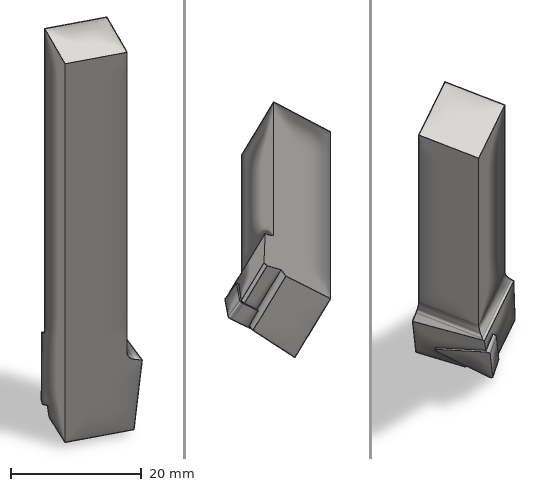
import cadquery as cq
import math

shank_side = 10.0
top_z = 71.35

blend_z = 15.7
blend_radius = 1.6
blend_sweep = 71.0
shoulder_slope = 90.0 - blend_sweep
head_left_top_x = -1.5
head_left_bottom_x = -1.7
head_back_y = 12.4

seat_corner = (head_left_bottom_x, 1.35)
seat_low = (-1.15, 0.9)
notch_root = (1.3, 2.3)
heel_low = (2.15, 0.7)
heel_end_z = 1.15

rake_tilt = 6.0
rake_slope = math.tan(math.radians(rake_tilt))

insert_edge = 11.0
insert_thickness = 3.1
insert_nose_radius = 0.4
insert_left_x = -2.35
insert_corner_z = -0.31
insert_proud = 0.3

sweep = math.radians(blend_sweep)
blend_out = blend_radius * (1 - math.cos(sweep))
blend_drop = blend_radius * math.sin(sweep)
blend_mid_out = blend_radius * (1 - math.cos(sweep / 2))
blend_mid_drop = blend_radius * math.sin(sweep / 2)


def shoulder_z(outward):
    """Height of the straight shoulder at a distance outward from the shank face."""
    drop = (outward - blend_out) * math.tan(math.radians(shoulder_slope))
    return blend_z - blend_drop - drop


rake_top_z = shoulder_z(head_back_y - shank_side)


def rake_y(x, z):
    """Y of the head's rake face at a given X and Z."""
    return head_back_y - rake_slope * (shank_side - x + rake_top_z - z)


def rake_plane(x, z, rise=0.0):
    """Plane on the rake face: local x runs towards +X, local y up, normal into the head."""
    return cq.Plane(
        origin=(x, rake_y(x, z) + rise, z),
        xDir=(1 + rake_slope**2, rake_slope, -rake_slope**2),
        normal=(rake_slope, -1, rake_slope),
    )


def make_side_profile():
    """Outline in XZ, extruded along +Y through the full depth of the head."""
    return (
        cq.Workplane("XZ")
        .moveTo(shank_side, top_z)
        .lineTo(0, top_z)
        .lineTo(0, blend_z)
        .threePointArc((-blend_mid_out, blend_z - blend_mid_drop), (-blend_out, blend_z - blend_drop))
        .lineTo(head_left_top_x, shoulder_z(-head_left_top_x))
        .lineTo(*seat_corner)
        .lineTo(*seat_low)
        .lineTo(*notch_root)
        .lineTo(*heel_low)
        .lineTo(shank_side, heel_end_z)
        .close()
        .extrude(-head_back_y)
    )


def make_depth_profile():
    """Outline in YZ, extruded along X, with the same blend and shoulder on the +Y side."""
    blend_mid = (shank_side + blend_mid_out, blend_z - blend_mid_drop)
    blend_end = (shank_side + blend_out, blend_z - blend_drop)
    bottom_y = rake_y(shank_side, 0)
    return (
        cq.Workplane("YZ", origin=(head_left_bottom_x, 0, 0))
        .moveTo(0, 0)
        .lineTo(0, top_z)
        .lineTo(shank_side, top_z)
        .lineTo(shank_side, blend_z)
        .threePointArc(blend_mid, blend_end)
        .lineTo(head_back_y, rake_top_z)
        .lineTo(bottom_y, 0)
        .close()
        .extrude(shank_side - head_left_bottom_x)
    )


def make_rake_cut():
    """Block of waste outside the rake face, low enough to leave the shank alone."""
    waste_width = 4 * shank_side
    waste_height = 4 * blend_z
    return cq.Workplane(rake_plane(0, 0)).rect(waste_width, waste_height).extrude(-head_back_y)


def make_insert():
    """Equilateral insert with a vertical cutting edge on the -X side, square to the rake face."""
    corner_plane = rake_plane(insert_left_x, insert_corner_z, insert_proud)
    triangle_height = insert_edge * math.sqrt(3) / 2
    return (
        cq.Workplane(corner_plane)
        .polyline([(0, 0), (triangle_height, insert_edge / 2), (0, insert_edge)])
        .close()
        .extrude(insert_thickness)
        .edges(cq.selectors.ParallelDirSelector(corner_plane.zDir))
        .fillet(insert_nose_radius)
    )


insert = make_insert()
holder = make_side_profile().intersect(make_depth_profile()).cut(make_rake_cut()).cut(insert)

result = cq.Compound.makeCompound([holder.val(), insert.val()])